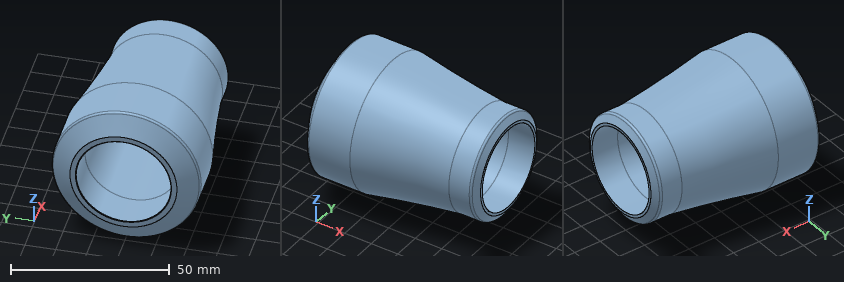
import cadquery as cq
import math

length = 64.0
large_radius = 48.3 / 2
small_radius = 38.0 / 2
large_face_radius = 17.35
small_face_radius = 16.0
bevel_angle = math.radians(60)
bevel_blend_radius = 0.95
taper_start = 20.0
taper_end = 54.0
taper_sag = 0.3
entry_radius = 30.7 / 2
bore_radius = 30.0 / 2
entry_depth = 12.0
entry_chamfer = 0.2

large_bevel_length = (large_radius - large_face_radius) / math.tan(bevel_angle)
small_bevel_length = (small_radius - small_face_radius) / math.tan(bevel_angle)
large_corner_x = large_bevel_length
small_corner_x = length - small_bevel_length

taper_mid = (
    (taper_start + taper_end) / 2,
    (large_radius + small_radius) / 2 - taper_sag,
)


def make_body():
    """Solid outer shape with rounded bevel corners."""
    body = (
        cq.Workplane("XY")
        .moveTo(0, 0)
        .lineTo(0, large_face_radius)
        .lineTo(large_corner_x, large_radius)
        .lineTo(taper_start, large_radius)
        .threePointArc(taper_mid, (taper_end, small_radius))
        .lineTo(small_corner_x, small_radius)
        .lineTo(length, small_face_radius)
        .lineTo(length, 0)
        .close()
        .revolve(360, (0, 0, 0), (1, 0, 0))
    )
    for corner_x in (large_corner_x, small_corner_x):
        corner_edge = cq.selectors.NearestToPointSelector((corner_x, 0, 0))
        body = body.edges("%CIRCLE").edges(corner_edge).fillet(bevel_blend_radius)
    return body


def make_bore():
    """Through passage: chamfered entry, conical reduction and narrower bore."""
    return (
        cq.Workplane("XY")
        .moveTo(0, 0)
        .lineTo(0, entry_radius + entry_chamfer)
        .lineTo(entry_chamfer, entry_radius)
        .lineTo(entry_depth, entry_radius)
        .lineTo(taper_end, bore_radius)
        .lineTo(length, bore_radius)
        .lineTo(length, 0)
        .close()
        .revolve(360, (0, 0, 0), (1, 0, 0))
    )


result = make_body().cut(make_bore())